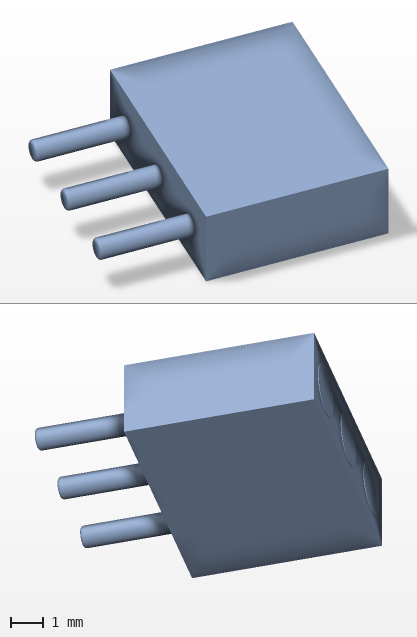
import cadquery as cq

pitch = 2.54
pin_count = 3
body_width = pin_count * pitch
body_depth = 6.0
body_height = pitch

pin_diameter = 0.7
pin_length = 3.1
pin_tip_radius = 0.1

pad_diameter = 1.68
pad_height = 0.02

front_y = -body_depth / 2
back_y = body_depth / 2
pin_places = [(index - (pin_count - 1) / 2) * pitch for index in range(pin_count)]


def make_body():
    """Plain block centred on the origin."""
    return cq.Workplane("XY").box(body_width, body_depth, body_height)


def make_pin(x):
    """Round pin pointing toward -Y with a rounded tip."""
    pin = cq.Workplane("XZ", origin=(x, front_y, 0)).circle(pin_diameter / 2).extrude(pin_length)
    return pin.faces("<Y").fillet(pin_tip_radius)


def make_pad(x):
    """Thin disc raised from the back face."""
    return cq.Workplane("XZ", origin=(x, back_y + pad_height, 0)).circle(pad_diameter / 2).extrude(pad_height)


result = make_body()
for place in pin_places:
    result = result.union(make_pin(place))
    result = result.union(make_pad(place))